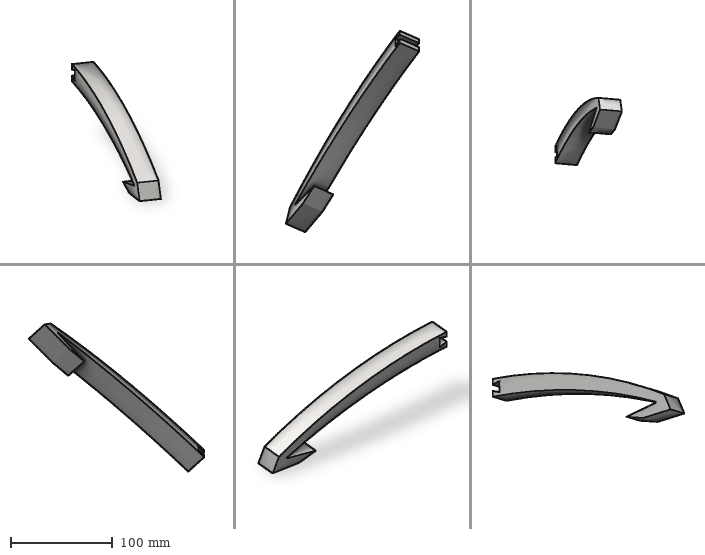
import cadquery as cq
import math

length = 224.5
width = 22.0
height = 69.0

root_height = 18.2
outer_end_x = 216.4
outer_end_drop = 49.0

slot_depth = 8.8
slot_mouth = 6.0
slot_back = 11.0

nose_drop = 65.5
heel_x = 190.3
barb_x = 168.8
barb_drop = 64.5
throat_x = 207.4
throat_drop = 55.5
throat_radius = 0.7


def arc_middle(start_z, end_x, end_z):
    """Middle point of an arc that starts level at X = 0 and falls to its end."""
    drop = start_z - end_z
    radius = (end_x**2 + drop**2) / (2 * drop)
    half_angle = math.atan2(drop, end_x)
    middle_x = radius * math.sin(half_angle)
    middle_z = start_z - radius * (1 - math.cos(half_angle))
    return middle_x, middle_z


outer_middle = arc_middle(0, outer_end_x, -outer_end_drop)
inner_middle = arc_middle(-root_height, throat_x, -throat_drop)
profile = (
    cq.Workplane("XZ")
    .moveTo(0, 0)
    .threePointArc(outer_middle, (outer_end_x, -outer_end_drop))
    .lineTo(length, -nose_drop)
    .lineTo(heel_x, -height)
    .lineTo(barb_x, -barb_drop)
    .lineTo(throat_x, -throat_drop)
    .threePointArc(inner_middle, (0, -root_height))
    .close()
)
hook = profile.extrude(width / 2, both=True)

throat_edge = cq.selectors.NearestToPointSelector((throat_x, 0, -throat_drop))
hook = hook.edges("|Y").edges(throat_edge).fillet(throat_radius)

slot_z = -root_height / 2
slot = (
    cq.Workplane("XZ")
    .polyline([
        (0, slot_z + slot_mouth / 2),
        (slot_depth, slot_z + slot_back / 2),
        (slot_depth, slot_z - slot_back / 2),
        (0, slot_z - slot_mouth / 2),
    ])
    .close()
    .extrude(width / 2, both=True)
)

result = hook.cut(slot)